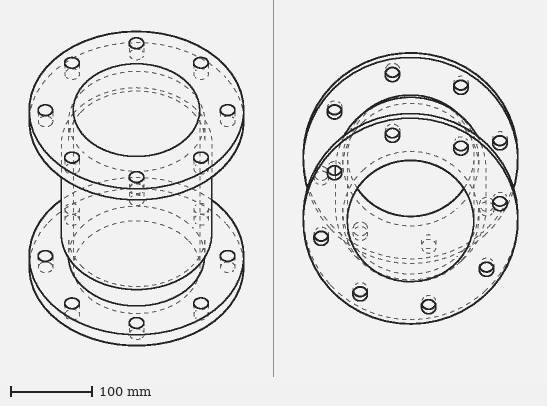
import cadquery as cq

length = 285.0
bore_diameter = 156.0

flange_diameter = 265.0
flange_thickness = 20.0
bolt_count = 8
bolt_circle_diameter = 225.0
bolt_hole_diameter = 18.0
first_bolt_angle = 360.0 / bolt_count / 2

neck_diameter = 168.3
sleeve_diameter = 186.0
sleeve_length = 170.0
sleeve_edge_radius = 3.0
neck_root_radius = 3.0


def cylinder(diameter, height, bottom):
    """Solid cylinder on the Z axis, starting at the given height."""
    return cq.Workplane("XY").workplane(offset=bottom).circle(diameter / 2).extrude(height)


def make_sleeve():
    """Middle sleeve with its two outer rims rounded."""
    sleeve = cylinder(sleeve_diameter, sleeve_length, -sleeve_length / 2)
    return sleeve.edges("%CIRCLE").fillet(sleeve_edge_radius)


def make_body():
    """Neck pipe and sleeve joined, with concave fillets at both sleeve ends."""
    neck = cylinder(neck_diameter, length, -length / 2)
    body = neck.union(make_sleeve())
    sleeve_ends = body.faces("%PLANE").faces("not(<Z or >Z)")
    neck_roots = sleeve_ends.edges(cq.selectors.RadiusNthSelector(0))
    return neck_roots.fillet(neck_root_radius)


def make_flange(bottom):
    """Flat flange with bolt holes straddling the X and Y axes."""
    flange = cylinder(flange_diameter, flange_thickness, bottom)
    return (
        flange.faces(">Z")
        .workplane()
        .polarArray(bolt_circle_diameter / 2, first_bolt_angle, 360, bolt_count)
        .hole(bolt_hole_diameter)
    )


lower_flange = make_flange(-length / 2)
upper_flange = make_flange(length / 2 - flange_thickness)
bore = cylinder(bore_diameter, length, -length / 2)

result = make_body().union(lower_flange).union(upper_flange).cut(bore)